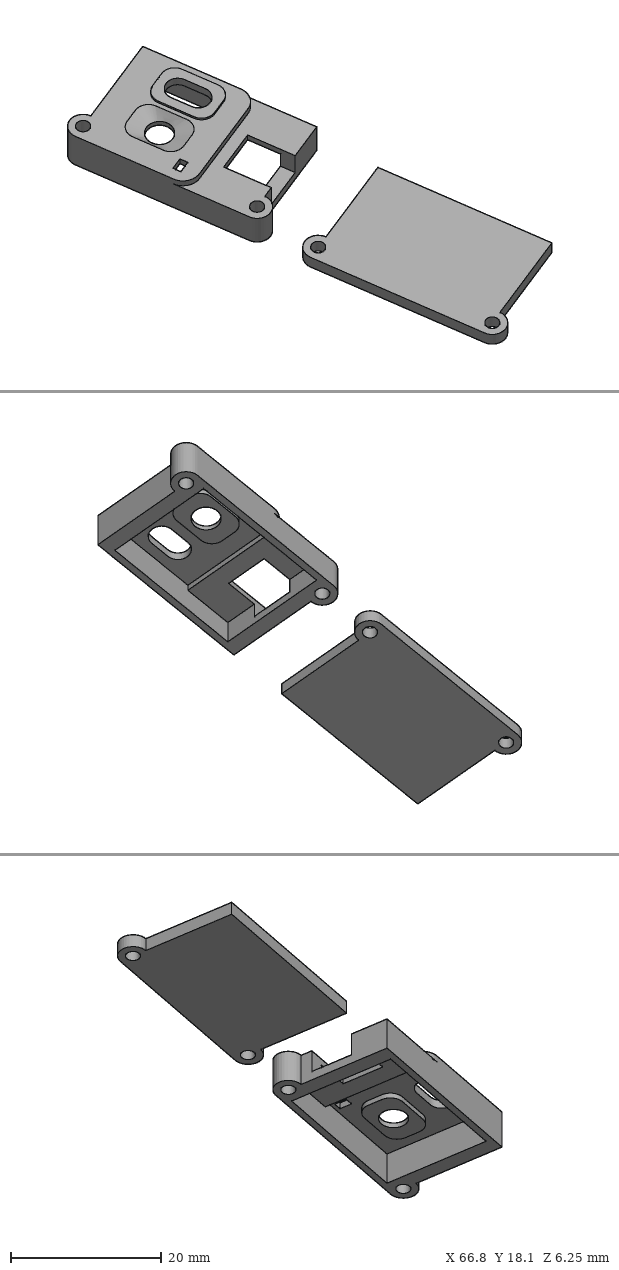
import cadquery as cq

overall_length = 66.8
body_length = 26.65
body_width = 18.1
ear_radius = 2.1
ear_hole_diameter = 2.0
ear_facets = 32
ear_centers = [(0, ear_radius), (body_length, ear_radius)]
lid_offset = overall_length - body_length - 2 * ear_radius

lid_thickness = 2.0
low_top = 4.9
high_top = 5.9
boss_height = 0.35
boss_top = high_top + boss_height

end_wall = 2.3
side_wall = 1.0
roof_thickness = 1.0

raised_end = 17.6
raised_corner_radius = 2.55

boss_center = (9.4, 13.8)
boss_length = 9.5
boss_width = 6.4
boss_corner_radius = 2.0
slot_length = 6.75
slot_width = 3.6

funnel_center = (9.0, 6.8)
funnel_length = 8.7
funnel_width = 6.2
funnel_corner_radius = 2.0
funnel_depth = 1.0
funnel_hole_diameter = 4.0
funnel_floor = 0.8

window_center = (14.65, 2.55)
window_length = 1.2
window_width = 1.9

connector_start = 19.4
connector_front = 5.9
connector_width = 6.4
notch_floor = 1.4


def box_between(x_range, y_range, z_range):
    """Axis-aligned box between pairs of limits."""
    (x0, x1), (y0, y1), (z0, z1) = x_range, y_range, z_range
    box = cq.Workplane("XY").box(x1 - x0, y1 - y0, z1 - z0, centered=False)
    return box.translate((x0, y0, z0))


def ear_prisms(centers, diameter, height):
    """Many-sided upright prisms, for the ears and for their holes."""
    return cq.Workplane("XY").pushPoints(centers).polygon(ear_facets, diameter).extrude(height)


def rounded_block(center, length, width, radius, bottom, top):
    """Upright block with rounded vertical edges."""
    block = cq.Workplane("XY", origin=(*center, bottom)).rect(length, width).extrude(top - bottom)
    return block.edges("|Z").fillet(radius)


def eared_plate(height):
    """Rectangular block with an ear at each front corner."""
    plate = cq.Workplane("XY").rect(body_length, body_width, centered=False).extrude(height)
    return plate.union(ear_prisms(ear_centers, 2 * ear_radius, height))


def raised_block():
    """Full-height left part of the housing, rounded at its right corners, with the left ear."""
    block = box_between((0, raised_end), (0, body_width), (0, high_top))
    block = block.edges("|Z and >X").fillet(raised_corner_radius)
    return block.union(ear_prisms(ear_centers[:1], 2 * ear_radius, high_top))


def cavity():
    """Hollow below the roof, higher under the raised part."""
    inner_y = (side_wall, body_width - side_wall)
    low_part = box_between((end_wall, body_length - end_wall), inner_y, (0, low_top - roof_thickness))
    high_part = box_between((end_wall, raised_end - side_wall), inner_y, (0, high_top - roof_thickness))
    return low_part.union(high_part)


def boss():
    return rounded_block(boss_center, boss_length, boss_width, boss_corner_radius, high_top, boss_top)


def slot():
    return cq.Workplane("XY").center(*boss_center).slot2D(slot_length, slot_width).extrude(boss_top)


def funnel_collar():
    bottom = high_top - funnel_depth - funnel_floor
    return rounded_block(funnel_center, funnel_length, funnel_width, funnel_corner_radius, bottom, high_top)


def funnel():
    """Blend from a rounded rectangle down to a circle, then a straight round hole."""
    mouth = cq.Sketch().rect(funnel_length, funnel_width).vertices().fillet(funnel_corner_radius)
    rim = cq.Sketch().circle(funnel_hole_diameter / 2)
    lowered_rim = rim.moved(cq.Location(cq.Vector(0, 0, -funnel_depth)))
    blend = cq.Workplane("XY", origin=(*funnel_center, high_top)).placeSketch(mouth, lowered_rim).loft()
    hole = cq.Workplane("XY").center(*funnel_center).circle(funnel_hole_diameter / 2)
    return blend.union(hole.extrude(high_top - funnel_depth))


def window():
    return cq.Workplane("XY").center(*window_center).rect(window_length, window_width).extrude(high_top)


def connector_opening():
    """Opening from the roof down to the notch floor, out through the right end wall."""
    y_range = (connector_front, connector_front + connector_width)
    return box_between((connector_start, body_length), y_range, (notch_floor, low_top))


def make_housing():
    shell = eared_plate(low_top).union(raised_block()).cut(cavity())
    shell = shell.union(boss()).union(funnel_collar())
    shell = shell.cut(slot()).cut(funnel()).cut(window()).cut(connector_opening())
    return shell.cut(ear_prisms(ear_centers, ear_hole_diameter, high_top))


def make_lid():
    lid = eared_plate(lid_thickness).cut(ear_prisms(ear_centers, ear_hole_diameter, lid_thickness))
    return lid.translate((lid_offset, 0, 0))


housing = make_housing()
lid = make_lid()
result = cq.Compound.makeCompound([housing.solids().val(), lid.solids().val()])